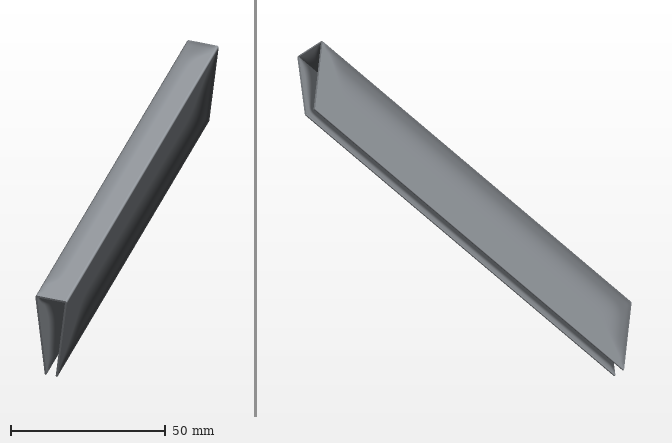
import cadquery as cq
import math

length = 152.4
width = 10.8
height = 30.6
thickness = 0.65
bend_radius = 0.67
tip_width = 4.4

top = height / 2
bottom = -top
tip_radius = thickness / 2

bend_x = width / 2 - bend_radius
bend_z = top - bend_radius
tip_x = tip_width / 2 - tip_radius
tip_z = bottom + tip_radius

run = bend_x - tip_x
drop = bend_z - tip_z
lean = math.atan2(run, drop) + math.asin((bend_radius - tip_radius) / math.hypot(run, drop))


def around(centre_x, centre_z, radius, angle):
    """Point on a circle, at an angle measured from +X towards +Z."""
    return centre_x + radius * math.cos(angle), centre_z + radius * math.sin(angle)


def mirrored(point):
    """Matching point on the left-hand leg."""
    return -point[0], point[1]


def channel_profile():
    """Closed XZ outline of the bent strip, centred on X and Z."""
    bend_start = around(bend_x, bend_z, bend_radius, -lean)
    bend_middle = around(bend_x, bend_z, bend_radius, (math.pi / 2 - lean) / 2)
    bend_end = (bend_x, top)

    tip_outer = around(tip_x, tip_z, tip_radius, -lean)
    tip_end = around(tip_x, tip_z, tip_radius, -lean - math.pi / 2)
    tip_inner = around(tip_x, tip_z, tip_radius, math.pi - lean)

    web_underside = top - thickness
    inner_corner_x = tip_inner[0] + (web_underside - tip_inner[1]) * math.tan(lean)
    inner_corner = (inner_corner_x, web_underside)

    return (
        cq.Workplane("XZ", origin=(0, length / 2, 0))
        .moveTo(*tip_outer)
        .lineTo(*bend_start)
        .threePointArc(bend_middle, bend_end)
        .lineTo(*mirrored(bend_end))
        .threePointArc(mirrored(bend_middle), mirrored(bend_start))
        .lineTo(*mirrored(tip_outer))
        .threePointArc(mirrored(tip_end), mirrored(tip_inner))
        .lineTo(*mirrored(inner_corner))
        .lineTo(*inner_corner)
        .lineTo(*tip_inner)
        .threePointArc(tip_end, tip_outer)
        .close()
    )


result = channel_profile().extrude(length)